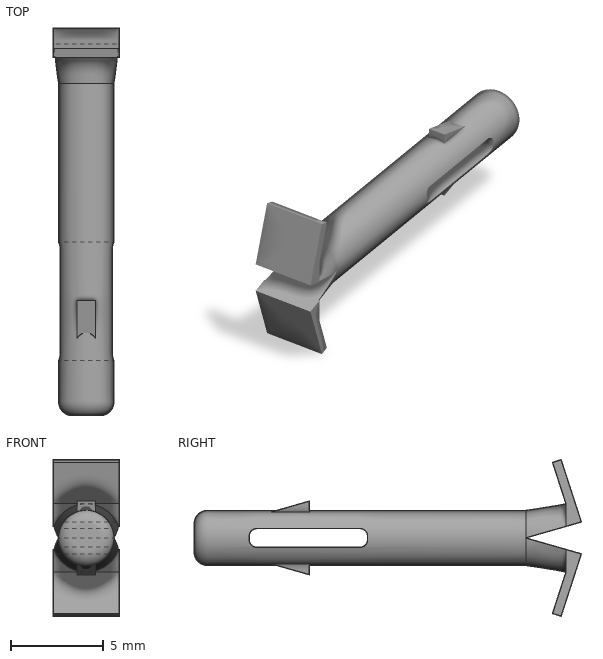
import cadquery as cq
import math

shaft_diameter = 3.0
shaft_radius = shaft_diameter / 2
shaft_length = 18.0
tip_fillet = 0.75

slot_start = 3.0
slot_length = 6.4
slot_height = 1.0
slot_corner_radius = 0.4

barb_width = 1.0
barb_back = 6.25
barb_top = 2.0
barb_root = 1.0
barb_angle = 16.0

leg_end = 21.0
flare_length = 2.15
flare_end = shaft_length + flare_length
flare_end_radius = 1.85
split_angle = 16.0
plate_width = 3.6
plate_top = 4.25
plate_angle = 18.0
plate_thickness = 0.5


def side_profile(points, width):
    """Extrude a closed outline of (y, z) points to a width centred on X = 0."""
    return cq.Workplane("YZ").polyline(points).close().extrude(width / 2, both=True)


def make_barb():
    """Wedge on top of the shaft, rising away from the tip to a square back face."""
    slope_run = (barb_top - barb_root) / math.tan(math.radians(barb_angle))
    outline = [
        (barb_back, barb_root),
        (barb_back, barb_top),
        (barb_back - slope_run, barb_root),
    ]
    return side_profile(outline, barb_width)


def make_slot():
    """Cutter for the slot that runs through the shaft from side to side."""
    slot = cq.Workplane("XY").box(2 * shaft_diameter, slot_length, slot_height)
    slot = slot.edges("|X").fillet(slot_corner_radius)
    return slot.translate((0, slot_start + slot_length / 2, 0))


def make_shaft():
    """Slotted pin with a rounded tip and a barb on its upper and lower side."""
    pin = cq.Workplane("XZ").circle(shaft_radius).extrude(-shaft_length)
    pin = pin.faces("<Y").edges().fillet(tip_fillet)
    barb = make_barb()
    pin = pin.union(barb).union(barb.mirror("XY"))
    return pin.cut(make_slot())


def split_height(y):
    """Height of the upper leg's sloping split face at a place along the pin."""
    return (y - shaft_length) * math.tan(math.radians(split_angle))


def make_flare():
    """Upper part of a cone that widens from the shaft, cut off along the split face."""
    cone_outline = [
        (0, shaft_length),
        (shaft_radius, shaft_length),
        (flare_end_radius, flare_end),
        (0, flare_end),
    ]
    cone = cq.Workplane("XY").polyline(cone_outline).close().revolve(360, (0, 0, 0), (0, 1, 0))
    above_split = [
        (shaft_length, 0),
        (leg_end, split_height(leg_end)),
        (leg_end, plate_top),
        (shaft_length, plate_top),
    ]
    return cone.intersect(side_profile(above_split, 2 * plate_width))


def make_plate():
    """Tilted plate with a wedge-shaped heel that fills the space behind the flare."""
    tilt = math.radians(plate_angle)
    heel_z = split_height(leg_end)
    outer_top_y = leg_end - (plate_top - heel_z) * math.tan(tilt)
    inner_top_y = outer_top_y - plate_thickness * math.cos(tilt)
    inner_top_z = plate_top - plate_thickness * math.sin(tilt)
    bend_z = inner_top_z - (flare_end - inner_top_y) / math.tan(tilt)
    outline = [
        (flare_end, split_height(flare_end)),
        (leg_end, heel_z),
        (outer_top_y, plate_top),
        (inner_top_y, inner_top_z),
        (flare_end, bend_z),
    ]
    return side_profile(outline, plate_width)


def make_leg(side):
    """One leg: side is 1 for the leg above the split and -1 for the one below."""
    leg = make_flare().union(make_plate())
    return leg if side > 0 else leg.mirror("XY")


shaft = make_shaft()
legs = [make_leg(side) for side in (1, -1)]
result = cq.Compound.makeCompound([shaft.solids().val(), *[leg.solids().val() for leg in legs]])